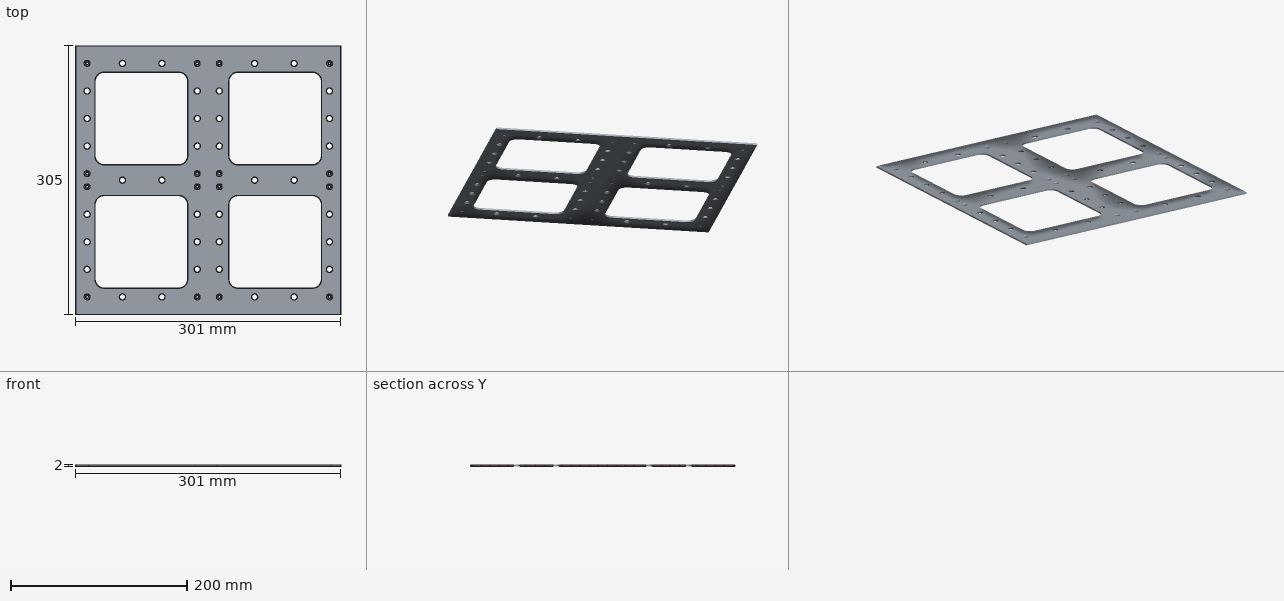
import cadquery as cq

WIDTH = 301.0
LENGTH = 305.0
THICKNESS = 2.0

CELL_PITCH_X = 150.0
CELL_PITCH_Y = 140.0
CELL_X = CELL_PITCH_X / 2
CELL_Y = CELL_PITCH_Y / 2

WINDOW_PITCH_X = 152.0
WINDOW_X = WINDOW_PITCH_X / 2
WINDOW_SIDE = 105.0
WINDOW_RADIUS = 10.0

HOLE_DIAMETER = 6.7
CORNER_DRILL_DIAMETER = 3.0
HOLE_SPAN = 125.0
SIDE_HOLE_PITCH = HOLE_SPAN / 4
CROSS_HOLE_PITCH = 44.8
COUNTERSINK_ANGLE = 90

cell_centers = [(sx * CELL_X, sy * CELL_Y) for sx in (-1, 1) for sy in (-1, 1)]
window_centers = [(sx * WINDOW_X, sy * CELL_Y) for sx in (-1, 1) for sy in (-1, 1)]


def corner_hole_points():
    """Holes at the four corners around every window."""
    half = HOLE_SPAN / 2
    return [
        (x + sx * half, y + sy * half)
        for x, y in cell_centers
        for sx in (-1, 1)
        for sy in (-1, 1)
    ]


def side_hole_points():
    """Three holes along the left and right of every window."""
    return [
        (x + sx * HOLE_SPAN / 2, y + row * SIDE_HOLE_PITCH)
        for x, y in cell_centers
        for sx in (-1, 1)
        for row in (-1, 0, 1)
    ]


def cross_hole_points():
    """Pairs of holes along the front and rear bars and the shared middle bar."""
    outer_y = CELL_Y + HOLE_SPAN / 2
    return [
        (sx * CELL_X + side * CROSS_HOLE_PITCH / 2, y)
        for sx in (-1, 1)
        for side in (-1, 1)
        for y in (-outer_y, 0, outer_y)
    ]


plate = cq.Workplane("XY").box(WIDTH, LENGTH, THICKNESS, centered=(True, True, False))

windows = (
    cq.Workplane("XY")
    .pushPoints(window_centers)
    .rect(WINDOW_SIDE, WINDOW_SIDE)
    .extrude(THICKNESS)
    .edges("|Z")
    .fillet(WINDOW_RADIUS)
)
plate = plate.cut(windows)

plate = (
    plate.faces(">Z")
    .workplane(origin=(0, 0, 0))
    .pushPoints(side_hole_points() + cross_hole_points())
    .hole(HOLE_DIAMETER)
)

result = (
    plate.faces(">Z")
    .workplane(origin=(0, 0, 0))
    .pushPoints(corner_hole_points())
    .cskHole(CORNER_DRILL_DIAMETER, HOLE_DIAMETER, COUNTERSINK_ANGLE)
)